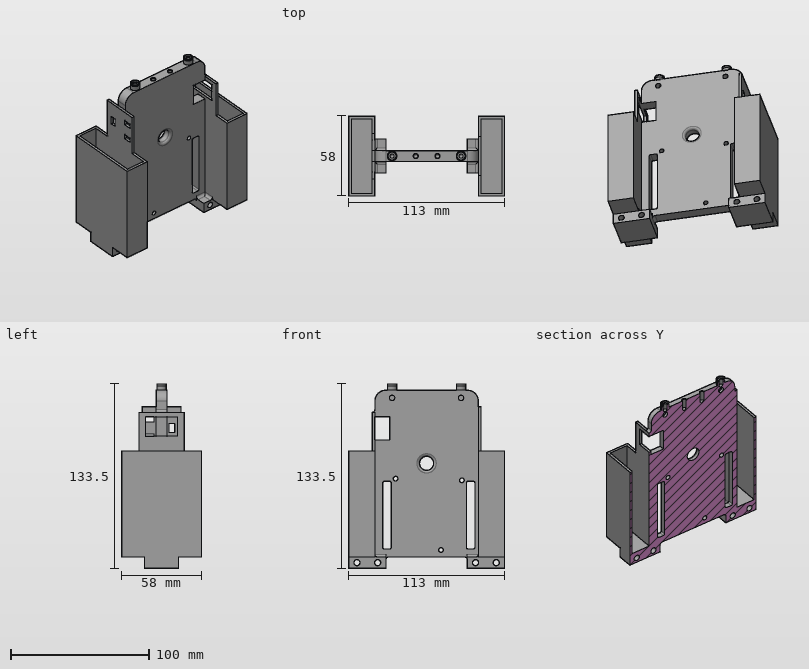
import cadquery as cq
import math

plate_half_width = 37.5
plate_thickness = 8.0
plate_bottom = 8.1
plate_top = 129.0
plate_corner_radius = 8.0

box_outer_x = 56.5
box_depth = 58.0
box_top = 84.9
wall = 2.0
cove_radius = 2.0

foot_inner_x = 29.4
foot_depth = 24.8
foot_hole_spacing = 15.0
foot_hole_diameter = 4.3

left_tab_depth = 33.0
left_tab_top = 113.0
left_window_depth = 23.1
left_window_bottom = 95.6
left_window_top = 109.6
right_tab_depth = 28.3
right_tab_top = 117.0
right_window_z = 101.6
right_window_y = -7.5
right_window_depth = 4.0
right_window_height = 6.3
right_slit_y = 8.5
right_slit_depth = 6.0
right_slit_height = 3.6
right_slit_spacing = 12.4

notch_inner_x = -26.7
notch_bottom = 92.9
notch_top = left_window_top
slot_centers_x = (-28.7, 31.9)
slot_width = 6.0
slot_bottom = 14.0
slot_top = 62.9
slot_corner_radius = 1.1
bore_z = 76.0
bore_diameter = 10.0
bore_rounding = 2.0
small_hole_diameter = 3.2
small_hole_centers = ((-22.4, 64.9), (25.5, 63.7), (10.4, 13.2))

peg_x = 25.0
peg_diameter = 7.0
peg_top = 133.5
peg_cup_diameter = 5.7
peg_cup_depth = 1.5
peg_hole_depth = 6.0
port_z = 123.4
port_diameter = 3.9
port_depth = 6.0
top_hole_x = 7.9
top_hole_depth = 8.0
top_hole_mouth_diameter = 3.7
top_hole_mouth_depth = 0.4
drill_diameter = 3.1
drill_tip_angle = 90.0


def block(x_range, y_range, z_range):
    """Rectangular block between the given limits, in any order."""
    low, high = zip(*(sorted(limits) for limits in (x_range, y_range, z_range)))
    size = [top - bottom for bottom, top in zip(low, high)]
    return cq.Workplane("XY").box(*size, centered=False).translate(low)


def centered(size, middle=0):
    """Limits of a length placed around a middle position."""
    return middle - size / 2, middle + size / 2


def y_hole(x, z, diameter, y_start=-box_depth, y_end=box_depth):
    """Cylinder along Y."""
    return (
        cq.Workplane("XZ", origin=(x, y_start, z))
        .circle(diameter / 2)
        .extrude(y_start - y_end)
    )


def cove(plane, corner, length, toward):
    """Concave fillet strip filling the corner of two faces, centered along its length."""
    u, v = (cove_radius * direction for direction in toward)
    bulge = 1 - math.sqrt(0.5)
    return (
        cq.Workplane(plane, origin=corner)
        .lineTo(u, 0)
        .threePointArc((u * bulge, v * bulge), (0, v))
        .close()
        .extrude(length / 2, both=True)
    )


def plate():
    """Main plate with rounded top corners."""
    body = block(centered(2 * plate_half_width), centered(plate_thickness), (plate_bottom, plate_top))
    return body.edges("|Y and >Z").fillet(plate_corner_radius)


def side_box(side):
    """Open-topped box; side is -1 for left and 1 for right."""
    outer = block((side * plate_half_width, side * box_outer_x), centered(box_depth), (plate_bottom, box_top))
    cavity = block(
        (side * (plate_half_width + wall), side * (box_outer_x - wall)),
        centered(box_depth - 2 * wall),
        (plate_bottom + wall, box_top),
    )
    return outer.cut(cavity)


def tab(side, depth, top):
    """Upright extension of the inner box wall."""
    x_range = (side * plate_half_width, side * (plate_half_width + wall))
    return block(x_range, centered(depth), (plate_bottom, top))


def peg(side):
    """Round peg standing on the top edge of the plate."""
    return (
        cq.Workplane("XY", origin=(side * peg_x, 0, plate_top))
        .circle(peg_diameter / 2)
        .extrude(peg_top - plate_top)
    )


def foot(side):
    """Drilled mounting foot with coves against the plate and the box wall."""
    body = block((side * foot_inner_x, side * box_outer_x), centered(foot_depth), (0, plate_bottom))
    middle_x = side * (foot_inner_x + box_outer_x) / 2
    for hole_x in centered(foot_hole_spacing, middle_x):
        body = body.cut(y_hole(hole_x, plate_bottom / 2, foot_hole_diameter))

    wall_corner = (side * plate_half_width, 0, plate_bottom)
    body = body.union(cove("XZ", wall_corner, foot_depth, (-side, 1)))
    plate_cove_length = plate_half_width - foot_inner_x
    plate_cove_x = side * (plate_half_width + foot_inner_x) / 2
    for face in (-1, 1):
        plate_corner = (plate_cove_x, face * plate_thickness / 2, plate_bottom)
        body = body.union(cove("YZ", plate_corner, plate_cove_length, (face, 1)))

    under_corner = (side * foot_inner_x, 0, plate_bottom)
    return body.union(cove("XZ", under_corner, plate_thickness, (-side, -1)))


def left_window():
    """Single wide window through the left tab."""
    return block(
        (-plate_half_width - wall, -plate_half_width),
        centered(left_window_depth),
        (left_window_bottom, left_window_top),
    )


def right_windows():
    """Small window beside the plate and a pair of slits on its other side."""
    x_range = (plate_half_width, plate_half_width + wall)
    openings = block(
        x_range,
        centered(right_window_depth, right_window_y),
        centered(right_window_height, right_window_z),
    )
    for slit_z in centered(right_slit_spacing, right_window_z):
        slit = block(x_range, centered(right_slit_depth, right_slit_y), centered(right_slit_height, slit_z))
        openings = openings.union(slit)
    return openings


def plate_openings():
    """Side notch, long slots, main bore and small holes."""
    through = centered(plate_thickness)
    openings = block((-plate_half_width, notch_inner_x), through, (notch_bottom, notch_top))
    for slot_x in slot_centers_x:
        slot = block(centered(slot_width, slot_x), through, (slot_bottom, slot_top))
        openings = openings.union(slot.edges("|Y").fillet(slot_corner_radius))
    for hole_x, hole_z in small_hole_centers:
        openings = openings.union(y_hole(hole_x, hole_z, small_hole_diameter))

    return openings.union(rounded_bore())


def rounded_bore():
    """Cutter for the main bore, widening through a rounded edge at both faces of the plate."""
    radius = bore_diameter / 2
    mouth_radius = radius + bore_rounding
    face = plate_thickness / 2
    throat = face - bore_rounding
    arc_offset = bore_rounding * math.sqrt(0.5)
    arc_radius = mouth_radius - arc_offset
    arc_y = throat + arc_offset
    return (
        cq.Workplane("XY", origin=(0, 0, bore_z))
        .moveTo(0, -face)
        .lineTo(mouth_radius, -face)
        .threePointArc((arc_radius, -arc_y), (radius, -throat))
        .lineTo(radius, throat)
        .threePointArc((arc_radius, arc_y), (mouth_radius, face))
        .lineTo(0, face)
        .close()
        .revolve(360, (0, 0, 0), (0, 1, 0))
    )


def drilled_hole(x, z_top, depth, mouth_diameter, mouth_depth):
    """Blind hole going down from z_top, with a wider mouth and a conical drill tip."""
    radius = drill_diameter / 2
    mouth_radius = mouth_diameter / 2
    tip_height = radius / math.tan(math.radians(drill_tip_angle / 2))
    return (
        cq.Workplane("XZ", origin=(x, 0, z_top))
        .lineTo(mouth_radius, 0)
        .lineTo(mouth_radius, -mouth_depth)
        .lineTo(radius, -mouth_depth)
        .lineTo(radius, -depth)
        .lineTo(0, -depth - tip_height)
        .close()
        .revolve(360, (0, 0, 0), (0, 1, 0))
    )


def top_holes(side):
    """Cupped peg hole, the port in the front face below it, and the plain hole in the top edge."""
    front = -plate_thickness / 2
    peg_hole = drilled_hole(side * peg_x, peg_top, peg_hole_depth, peg_cup_diameter, peg_cup_depth)
    port = y_hole(side * peg_x, port_z, port_diameter, front, front + port_depth)
    top_hole = drilled_hole(
        side * top_hole_x, plate_top, top_hole_depth, top_hole_mouth_diameter, top_hole_mouth_depth
    )
    return peg_hole.union(port).union(top_hole)


result = plate()
for side in (-1, 1):
    result = result.union(side_box(side)).union(foot(side)).union(peg(side))
result = result.union(tab(-1, left_tab_depth, left_tab_top))
result = result.union(tab(1, right_tab_depth, right_tab_top))
result = result.union(cove("XZ", (-plate_half_width, 0, left_tab_top), plate_thickness, (-1, 1)))

result = result.cut(left_window()).cut(right_windows()).cut(plate_openings())
for side in (-1, 1):
    result = result.cut(top_holes(side))